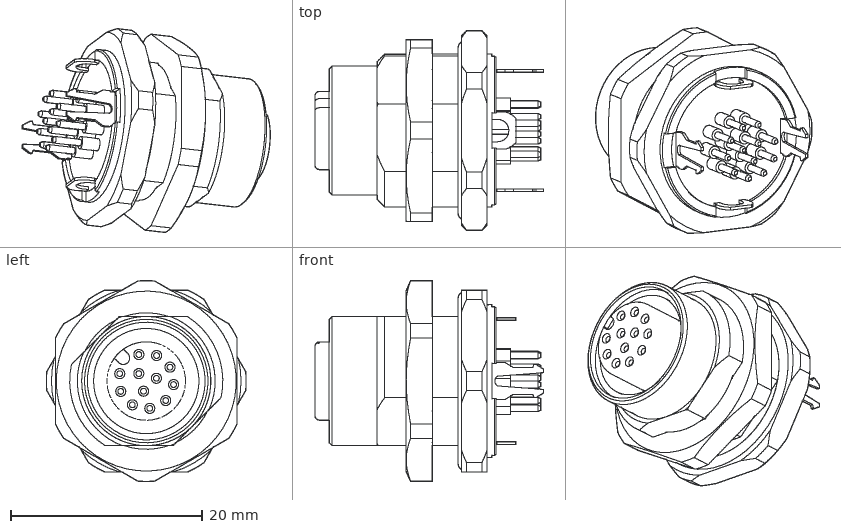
import cadquery as cq
import math


SLEEVE_START = 1.5
THREAD_START = 6.5
NUT_START = 9.5
NUT_END = 12.28
FLANGE_START = 15.3
FLANGE_END = 18.0
NOTCH_FLOOR = 18.5
COLLAR_END = 18.94
PIN_STEP = 20.45
GROUND_TAB_END = 21.0
PIN_END = 23.6
FORK_END = 23.9

SLEEVE_RADIUS = 13.5 / 2
SLEEVE_CHAMFER = 0.3
MOUTH_RADIUS = 12.3 / 2
MOUTH_DEPTH = 0.8
BORE_RADIUS = 11.0 / 2
BORE_FLOOR = 9.5
THREAD_RADIUS = 16.0 / 2
THREAD_CHAMFER = 0.8
THREAD_FLAT_DISTANCE = SLEEVE_RADIUS
THREAD_FLAT_ANGLES = (0, 45, 180, 225)
FLANGE_SEAL_OUTER_RADIUS = 9.25
FLANGE_SEAL_HEIGHT = 0.35
COLLAR_CHAMFER = 0.16

HEX_ACROSS_FLATS = 19.0
FLANGE_CORNER_RADIUS = 10.45
NUT_CORNER_RADIUS = 10.5
FLANGE_CHAMFER = 0.55
NUT_CHAMFER_LENGTH = 0.5
NUT_CHAMFER_HEIGHT = 1.1
NUT_BORE_RADIUS = 7.13

INSERT_RADIUS = 8.2 / 2
INSERT_ROUNDING = 0.5
BASE_DISC_RADIUS = 6.9
BASE_DISC_START = 16.5
KEY_RADIUS = 0.67
KEY_CENTER_RADIUS = 3.4
KEY_ANGLE = 135
OUTER_RING_RADIUS = 2.875
OUTER_RING_COUNT = 9
OUTER_RING_STEP = 37.65
INNER_RING_RADIUS = 1.1
INNER_RING_COUNT = 3
SOCKET_DIAMETER = 0.6
SOCKET_MOUTH_DIAMETER = 1.05
SOCKET_MOUTH_DEPTH = 0.3
SOCKET_DEPTH = 5.0
PIN_BASE_DIAMETER = 1.3
PIN_DIAMETER = 0.7
PIN_TIP_LENGTH = 0.3
PIN_TIP_DIAMETER = 0.4

TAB_THICKNESS = 0.3
TAB_ROOT_HALF_WIDTH = 1.84
TAB_HALF_WIDTH = 1.95
TAB_SHOULDER_START = 19.05
TAB_SHOULDER_END = 19.85
GROUND_TAB_OUTER = 6.63
FORK_TAB_OUTER = 6.38


def around_axis(profile):
    """Revolve a sketch of (axial, radial) points about the X axis."""
    return profile.close().revolve(360, (0, 0, 0), (1, 0, 0))


def cylinder(start, end, radius):
    return cq.Workplane("YZ", origin=(start, 0, 0)).circle(radius).extrude(end - start)


def hexagon(start, end, corner_angle):
    """Hexagonal prism along X with one corner at corner_angle from +Y."""
    across_corners = HEX_ACROSS_FLATS / math.cos(math.pi / 6)
    return (
        cq.Workplane("YZ", origin=(start, 0, 0))
        .transformed(rotate=(0, 0, corner_angle))
        .polygon(6, across_corners)
        .extrude(end - start)
    )


def make_flange():
    envelope = cylinder(FLANGE_START, FLANGE_END, FLANGE_CORNER_RADIUS).edges().chamfer(FLANGE_CHAMFER)
    return hexagon(FLANGE_START, FLANGE_END, 0).intersect(envelope)


def make_threaded_barrel():
    barrel = (
        cylinder(THREAD_START, FLANGE_START, THREAD_RADIUS)
        .faces("<X").edges().chamfer(THREAD_CHAMFER)
    )
    nut_seat = cylinder(NUT_START, NUT_END, THREAD_RADIUS).cut(
        cylinder(NUT_START, NUT_END, NUT_BORE_RADIUS)
    )
    barrel = barrel.cut(nut_seat)
    length = FLANGE_START - THREAD_START
    for angle in THREAD_FLAT_ANGLES:
        beyond_flat = (
            cq.Workplane("XY", origin=(THREAD_START, 0, THREAD_FLAT_DISTANCE))
            .box(length, 2 * THREAD_RADIUS, THREAD_RADIUS, centered=(False, True, False))
            .rotate((0, 0, 0), (1, 0, 0), -angle)
        )
        barrel = barrel.cut(beyond_flat)
    return barrel


def make_flange_seal():
    middle_radius = (THREAD_RADIUS + FLANGE_SEAL_OUTER_RADIUS) / 2
    return around_axis(
        cq.Workplane("XY")
        .moveTo(FLANGE_START, THREAD_RADIUS)
        .threePointArc(
            (FLANGE_START - FLANGE_SEAL_HEIGHT, middle_radius),
            (FLANGE_START, FLANGE_SEAL_OUTER_RADIUS),
        )
    )


def make_collar():
    collar = (
        cylinder(FLANGE_END, COLLAR_END, THREAD_RADIUS)
        .faces(">X").edges().chamfer(COLLAR_CHAMFER)
    )
    notch_length = COLLAR_END - NOTCH_FLOOR
    notch_width = 2 * TAB_ROOT_HALF_WIDTH
    slot = cq.Workplane("XY", origin=(NOTCH_FLOOR, 0, 0))
    across_y = slot.box(notch_length, 2 * THREAD_RADIUS, notch_width, centered=(False, True, True))
    across_z = slot.box(notch_length, notch_width, 2 * THREAD_RADIUS, centered=(False, True, True))
    return collar.cut(across_y).cut(across_z)


def make_housing_cavity():
    """Front opening with a rounded seal bead on its floor, then the seat of the insert."""
    bead_half_width = (BORE_RADIUS - INSERT_RADIUS) / 2
    return around_axis(
        cq.Workplane("XY")
        .moveTo(SLEEVE_START, 0)
        .lineTo(SLEEVE_START, MOUTH_RADIUS)
        .lineTo(SLEEVE_START + MOUTH_DEPTH, MOUTH_RADIUS)
        .lineTo(SLEEVE_START + MOUTH_DEPTH, BORE_RADIUS)
        .lineTo(BORE_FLOOR, BORE_RADIUS)
        .threePointArc(
            (BORE_FLOOR - bead_half_width, BORE_RADIUS - bead_half_width),
            (BORE_FLOOR, INSERT_RADIUS),
        )
        .lineTo(BASE_DISC_START, INSERT_RADIUS)
        .lineTo(BASE_DISC_START, BASE_DISC_RADIUS)
        .lineTo(COLLAR_END, BASE_DISC_RADIUS)
        .lineTo(COLLAR_END, 0)
    )


def make_housing():
    sleeve = (
        cylinder(SLEEVE_START, THREAD_START, SLEEVE_RADIUS)
        .faces("<X").edges().chamfer(SLEEVE_CHAMFER)
    )
    return (
        sleeve.union(make_threaded_barrel())
        .union(make_flange())
        .union(make_flange_seal())
        .union(make_collar())
        .cut(make_housing_cavity())
    )


def make_nut():
    envelope = (
        cylinder(NUT_START, NUT_END, NUT_CORNER_RADIUS)
        .faces("<X").edges().chamfer(NUT_CHAMFER_LENGTH, NUT_CHAMFER_HEIGHT)
    )
    bore = cylinder(NUT_START, NUT_END, NUT_BORE_RADIUS)
    return hexagon(NUT_START, NUT_END, 90).intersect(envelope).cut(bore)


def polar_position(radius, angle):
    """(y, z) of a point at the given angle, measured from -Y towards +Z."""
    radians = math.radians(angle)
    return -radius * math.cos(radians), radius * math.sin(radians)


def contact_positions():
    """Outer contacts sit evenly about the side opposite the key, inner ones evenly from the key."""
    first_angle = KEY_ANGLE + 180 - OUTER_RING_STEP * (OUTER_RING_COUNT - 1) / 2
    outer = [
        polar_position(OUTER_RING_RADIUS, first_angle + index * OUTER_RING_STEP)
        for index in range(OUTER_RING_COUNT)
    ]
    inner = [
        polar_position(INNER_RING_RADIUS, KEY_ANGLE + index * 360 / INNER_RING_COUNT)
        for index in range(INNER_RING_COUNT)
    ]
    return outer + inner


def make_socket(y, z):
    """Contact opening: a plain hole with a conical mouth at the contact face."""
    return around_axis(
        cq.Workplane("XY")
        .lineTo(0, SOCKET_MOUTH_DIAMETER / 2)
        .lineTo(SOCKET_MOUTH_DEPTH, SOCKET_DIAMETER / 2)
        .lineTo(SOCKET_DEPTH, SOCKET_DIAMETER / 2)
        .lineTo(SOCKET_DEPTH, 0)
    ).translate((0, y, z))


def make_pin(y, z):
    """Solder pin with a thick base and a tapered tip."""
    return around_axis(
        cq.Workplane("XY")
        .moveTo(BASE_DISC_START, 0)
        .lineTo(BASE_DISC_START, PIN_BASE_DIAMETER / 2)
        .lineTo(PIN_STEP, PIN_BASE_DIAMETER / 2)
        .lineTo(PIN_STEP, PIN_DIAMETER / 2)
        .lineTo(PIN_END - PIN_TIP_LENGTH, PIN_DIAMETER / 2)
        .lineTo(PIN_END, PIN_TIP_DIAMETER / 2)
        .lineTo(PIN_END, 0)
    ).translate((0, y, z))


def make_key_slot():
    """Round-bottomed slot along the side of the insert."""
    return (
        cylinder(0, BORE_FLOOR, KEY_RADIUS)
        .union(
            cq.Workplane("XY")
            .box(BORE_FLOOR, INSERT_RADIUS, 2 * KEY_RADIUS, centered=(False, False, True))
        )
        .translate((0, KEY_CENTER_RADIUS, 0))
        .rotate((0, 0, 0), (1, 0, 0), 180 - KEY_ANGLE)
    )


def make_ground_tab():
    """Short tab lying in the XY plane, with a round-ended window open at its root."""
    corner_half_width = 1.26
    corner_x, corner_y = 20.5, 1.7
    window_radius = 1.17
    window_end = 20.26
    plate = (
        cq.Workplane("XY")
        .moveTo(NOTCH_FLOOR, -TAB_ROOT_HALF_WIDTH)
        .lineTo(COLLAR_END, -TAB_ROOT_HALF_WIDTH)
        .lineTo(TAB_SHOULDER_START, -TAB_HALF_WIDTH)
        .lineTo(TAB_SHOULDER_END, -TAB_HALF_WIDTH)
        .threePointArc((corner_x, -corner_y), (GROUND_TAB_END, -corner_half_width))
        .lineTo(GROUND_TAB_END, corner_half_width)
        .threePointArc((corner_x, corner_y), (TAB_SHOULDER_END, TAB_HALF_WIDTH))
        .lineTo(TAB_SHOULDER_START, TAB_HALF_WIDTH)
        .lineTo(COLLAR_END, TAB_ROOT_HALF_WIDTH)
        .lineTo(NOTCH_FLOOR, TAB_ROOT_HALF_WIDTH)
        .close()
        .extrude(TAB_THICKNESS)
    )
    window_center = window_end - window_radius
    window = (
        cq.Workplane("XY")
        .moveTo(NOTCH_FLOOR, -window_radius)
        .lineTo(window_center, -window_radius)
        .threePointArc((window_end, 0), (window_center, window_radius))
        .lineTo(NOTCH_FLOOR, window_radius)
        .close()
        .extrude(TAB_THICKNESS)
    )
    return plate.cut(window).translate((0, 0, GROUND_TAB_OUTER - TAB_THICKNESS))


def make_fork_tab():
    """Snap-in fork lying in the XZ plane: two barbed prongs parted by a tapered slot."""
    slot_end = 18.8
    slot_root = (19.1, 0.51)
    neck_start, neck_end, neck_half_width = 20.75, 22.75, 1.4
    barb_start, barb_end, barb_half_width = 22.88, 23.1, 1.74
    tip_inner, tip_outer = 0.875, 1.25
    upper_edge = [
        (FORK_END, tip_inner),
        (FORK_END, tip_outer),
        (barb_end, barb_half_width),
        (barb_start, barb_half_width),
        (neck_end, neck_half_width),
        (neck_start, neck_half_width),
        (TAB_SHOULDER_END, TAB_HALF_WIDTH),
        (TAB_SHOULDER_START, TAB_HALF_WIDTH),
        (COLLAR_END, TAB_ROOT_HALF_WIDTH),
        (NOTCH_FLOOR, TAB_ROOT_HALF_WIDTH),
    ]
    lower_edge = [(x, -z) for x, z in reversed(upper_edge)]
    return (
        cq.Workplane("XZ")
        .moveTo(*slot_root)
        .polyline(upper_edge + lower_edge, includeCurrent=True)
        .lineTo(slot_root[0], -slot_root[1])
        .threePointArc((slot_end, 0), slot_root)
        .close()
        .extrude(TAB_THICKNESS)
        .translate((0, TAB_THICKNESS - FORK_TAB_OUTER, 0))
    )


def make_insert():
    insert = cylinder(0, NOTCH_FLOOR, INSERT_RADIUS).faces("<X").edges().fillet(INSERT_ROUNDING)
    insert = insert.union(cylinder(BASE_DISC_START, NOTCH_FLOOR, BASE_DISC_RADIUS))
    insert = insert.cut(make_key_slot())
    for y, z in contact_positions():
        insert = insert.cut(make_socket(y, z)).union(make_pin(y, z))
    for tab in (make_ground_tab(), make_fork_tab()):
        opposite_tab = tab.rotate((0, 0, 0), (1, 0, 0), 180)
        insert = insert.union(tab).union(opposite_tab)
    return insert


housing = make_housing()
nut = make_nut()
insert = make_insert()
result = cq.Compound.makeCompound(
    [housing.solids().val(), nut.solids().val(), insert.solids().val()]
)